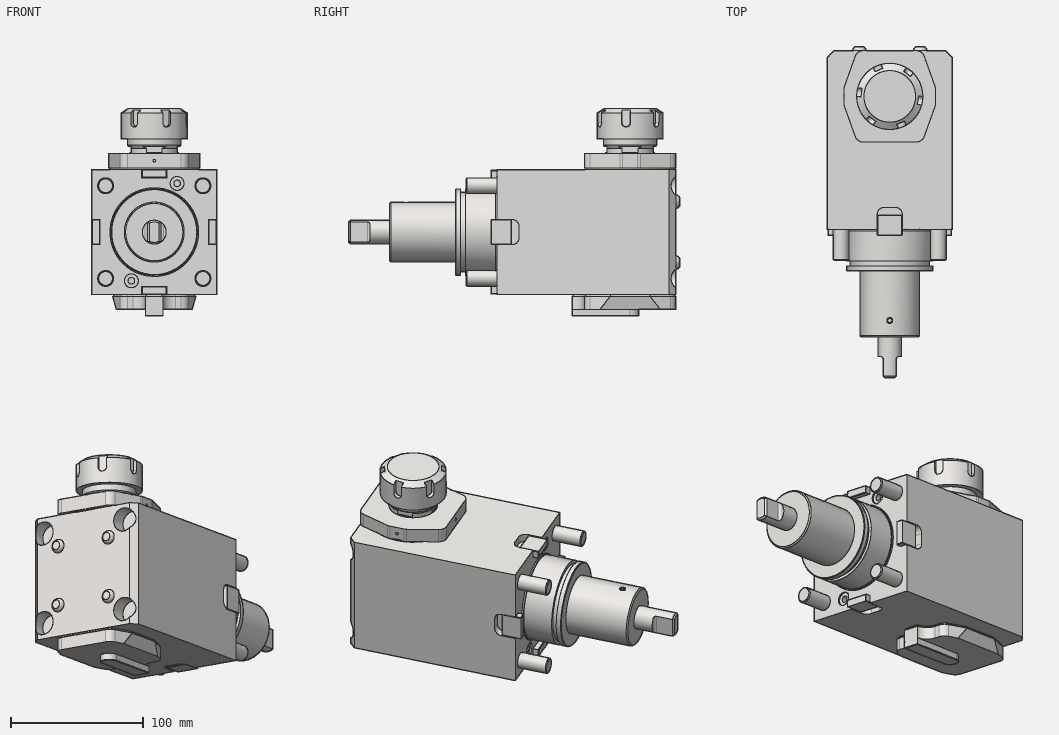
import cadquery as cq
import math


body_width = 94.0
body_length = 134.5
body_half = body_width / 2
corner_chamfer = 5.0

plate_half_length = 34.3
plate_half_width = 34.3
plate_flat_half = 6.7
plate_end_half = 24.5
plate_round = 6.2
plate_height = 11.0
spindle_y = body_length - plate_half_length
spacer_height = 1.2
top_spacer_diameter = 67.2
oil_hole_diameter = 2.0
oil_hole_depth = 5.0

neck_radius = 18.5
neck_foot_height = 0.7
neck_height = 3.7
neck_flat_distance = 17.5
neck_flat_height = 4.5
shoulder_radius = 20.2
shoulder_cone_height = 2.5
shoulder_height = 4.7
nut_radius = 25.0
nut_face_radius = 19.5
nut_side_height = 19.5
nut_cone_height = 3.5
nut_slot_count = 6
nut_slot_width = 6.5
nut_slot_floor_radius = 21.5
nut_slot_depth = 14.0
nut_slot_angle = -7.6

bottom_plate_height = 9.7
bottom_gap = 1.2
tongue_width = 13.2
tongue_reach = 43.5
tongue_drop = 5.2
tongue_chamfer = 0.5
spacer_inset = 0.7
bevel_top_half = 31.4
bevel_bottom_half = 28.5

pilot_diameter = 65.0
pilot_groove_diameter = 60.0
pilot_end = 23.6
flange_start = 27.5
flange_end = 31.4
flange_chamfer = 0.5
collar_diameter = 66.7
collar_height = 1.2
shank_diameter = 45.0
shank_end = 81.0
shank_chamfer = 1.0
shank_hole_diameter = 3.2
shank_hole_mouth_diameter = 4.5
shank_hole_mouth_depth = 1.2
shank_hole_y = -68.5
shank_hole_depth = 7.5

shaft_end = 111.5
driver_diameter = 18.0
driver_thickness = 10.0
driver_flat_start = 95.5
driver_round = 2.0
driver_chamfer = 1.2

bolt_x = 36.5
bolt_z = 34.8
bolt_diameter = 12.0
bolt_reach = 23.1
bolt_chamfer = 0.7
head_recess_diameter = 18.0
head_recess_depth = 12.5

key_width = 19.0
key_depth = 6.2
key_inset = 0.5
key_chamfer = 0.5
key_reach = 4.5
key_length_inside = 11.0
key_pocket_length = 16.7
key_pocket_round = 5.5

port_x = 17.2
port_z = 36.5
port_diameter = 10.5
port_ledge_depth = 1.2
port_hole_diameter = 5.0
port_hole_depth = 7.5

button_offset = 23.0
button_diameter = 10.5
button_top_diameter = 6.5
button_height = 3.0
button_bulge_diameter = 9.2
button_bulge_height = 1.7


def rod_along_y(diameter, y_from, y_to, x=0, z=0):
    """Cylinder parallel to Y between two Y positions."""
    workplane = cq.Workplane("XZ", origin=(x, y_to, z))
    return workplane.circle(diameter / 2).extrude(y_to - y_from)


def four_places(x, z):
    return [(sx * x, sz * z) for sx in (-1, 1) for sz in (-1, 1)]


def plate_blank(z_from, height):
    """Eight-sided plate with rounded corners, centred on the spindle axis."""
    quarter = [(plate_half_width, plate_flat_half), (plate_end_half, plate_half_length)]
    right = [(x, -y) for x, y in reversed(quarter)] + quarter
    left = [(-x, -y) for x, y in right]
    base = cq.Workplane("XY", origin=(0, spindle_y, z_from))
    blank = base.polyline(right + left).close().extrude(height)
    return blank.edges("|Z").fillet(plate_round)


def make_body():
    body = cq.Workplane("XY").box(body_width, body_length, body_width, centered=(True, False, True))
    body = body.edges("|Z and >Y").chamfer(corner_chamfer)
    for x, z in four_places(bolt_x, bolt_z):
        body = body.cut(rod_along_y(head_recess_diameter, body_length - head_recess_depth, body_length, x, z))
    for x, z in [(port_x, port_z), (-port_x, -port_z)]:
        body = body.cut(rod_along_y(port_diameter, 0, port_ledge_depth, x, z))
        body = body.cut(rod_along_y(port_hole_diameter, 0, port_hole_depth, x, z))
    return body


def make_key_pocket():
    """Pocket for the upper key, rounded at its rear corners."""
    pocket = cq.Workplane("XY", origin=(0, 0, body_half - key_depth)).box(
        key_width, key_pocket_length, key_depth, centered=(True, False, False)
    )
    return pocket.edges("|Z and >Y").fillet(key_pocket_round)


def make_key():
    """Upper key, chamfered on its exposed edges except the front outer one."""
    key = cq.Workplane("XY", origin=(0, -key_reach, body_half - key_depth)).box(
        key_width, key_reach + key_length_inside, key_depth - key_inset, centered=(True, False, False)
    )
    return key.edges("|Z or (>Z and (not <Y)) or (<Z and <Y)").chamfer(key_chamfer)


def make_top_plate():
    spacer_base = cq.Workplane("XY", origin=(0, spindle_y, body_half))
    spacer = spacer_base.circle(top_spacer_diameter / 2).extrude(spacer_height)
    plate = plate_blank(body_half + spacer_height, plate_height)
    hole_z = body_half + spacer_height + plate_height / 2
    front_y = spindle_y - plate_half_length
    plate = plate.cut(rod_along_y(oil_hole_diameter, front_y, front_y + oil_hole_depth, 0, hole_z))
    side_hole = cq.Workplane("YZ", origin=(-plate_half_width, spindle_y, hole_z))
    plate = plate.cut(side_hole.circle(oil_hole_diameter / 2).extrude(oil_hole_depth))
    return plate.union(spacer)


def make_spindle():
    """Neck, shoulder and slotted collet nut turned about the spindle axis."""
    base_z = body_half + spacer_height + plate_height
    neck_top = base_z + neck_height
    cone_top = neck_top + shoulder_cone_height
    nut_bottom = cone_top + shoulder_height
    nut_edge = nut_bottom + nut_side_height
    nut_top = nut_edge + nut_cone_height
    profile = [
        (0, base_z),
        (neck_radius, base_z),
        (neck_radius, neck_top),
        (shoulder_radius, cone_top),
        (shoulder_radius, nut_bottom),
        (nut_radius, nut_bottom),
        (nut_radius, nut_edge),
        (nut_face_radius, nut_top),
        (0, nut_top),
    ]
    spindle = cq.Workplane("XZ").polyline(profile).close().revolve(360, (0, 0, 0), (0, 1, 0))

    outer = 2 * nut_radius
    flats = (
        cq.Workplane("XY", origin=(0, 0, base_z + neck_foot_height))
        .rect(outer, outer)
        .rect(2 * neck_flat_distance, 2 * neck_flat_distance)
        .extrude(neck_flat_height)
    )
    spindle = spindle.cut(flats)

    slot_end_z = nut_top - nut_slot_depth + nut_slot_width / 2
    slot_base = cq.Workplane("YZ", origin=(nut_slot_floor_radius, 0, slot_end_z))
    slot = slot_base.circle(nut_slot_width / 2).extrude(nut_radius)
    slot_sides = slot_base.center(0, nut_slot_depth / 2).rect(nut_slot_width, nut_slot_depth).extrude(nut_radius)
    slot = slot.union(slot_sides)
    for i in range(nut_slot_count):
        angle = nut_slot_angle + i * 360 / nut_slot_count
        spindle = spindle.cut(slot.rotate((0, 0, 0), (0, 0, 1), angle))
    return spindle.translate((0, spindle_y, 0))


def make_bottom_plate():
    """Plate with bevelled sides and a guide tongue that reaches past its front edge."""
    plate_top = -body_half - bottom_gap
    plate_bottom = plate_top - bottom_plate_height
    plate = plate_blank(plate_bottom, bottom_plate_height)

    bevel = (
        cq.Workplane("XZ", origin=(0, body_length, 0))
        .polyline([
            (-bevel_top_half, plate_top),
            (bevel_top_half, plate_top),
            (bevel_bottom_half, plate_bottom),
            (-bevel_bottom_half, plate_bottom),
        ])
        .close()
        .extrude(body_length)
    )
    plate = plate.intersect(bevel)

    half = tongue_width / 2
    root = tongue_reach - plate_half_length
    flare_mid = root * (1 - math.sqrt(0.5))
    flare = (
        cq.Workplane("XY", origin=(0, spindle_y, plate_bottom))
        .moveTo(-half - root, -plate_half_length)
        .threePointArc((-half - flare_mid, -plate_half_length - flare_mid), (-half, -tongue_reach))
        .lineTo(half, -tongue_reach)
        .threePointArc((half + flare_mid, -plate_half_length - flare_mid), (half + root, -plate_half_length))
        .close()
        .extrude(bottom_plate_height)
    )
    tongue = (
        cq.Workplane("XY", origin=(0, spindle_y, plate_bottom - tongue_drop))
        .moveTo(-half, -tongue_reach)
        .lineTo(half, -tongue_reach)
        .lineTo(half, 0)
        .threePointArc((0, half), (-half, 0))
        .close()
        .extrude(tongue_drop + bottom_plate_height)
    )
    tongue = tongue.faces("<Z").chamfer(tongue_chamfer)
    plate = plate.union(flare)
    spacer = plate.faces(">Z").wires().toPending().offset2D(-spacer_inset).extrude(bottom_gap, combine=False)
    spacer = spacer.translate((0, 0, plate_top - spacer.val().BoundingBox().zmin))
    return plate.union(spacer).union(tongue)


def make_shaft():
    """Pilot, retaining flange, shank and the flattened driving end."""
    shaft = rod_along_y(pilot_diameter, -pilot_end, 0)
    shaft = shaft.union(rod_along_y(collar_diameter, -collar_height, 0))
    shaft = shaft.union(rod_along_y(pilot_groove_diameter, -flange_start, -pilot_end))
    flange = rod_along_y(pilot_diameter, -flange_end, -flange_start)
    shaft = shaft.union(flange.faces("<Y").chamfer(flange_chamfer))

    shank = rod_along_y(shank_diameter, -shank_end, -flange_end).faces("<Y").chamfer(shank_chamfer)
    hole_top = cq.Workplane("XY", origin=(0, shank_hole_y, shank_diameter / 2))
    shank = shank.cut(hole_top.circle(shank_hole_diameter / 2).extrude(-shank_hole_depth))
    shank = shank.cut(hole_top.circle(shank_hole_mouth_diameter / 2).extrude(-shank_hole_mouth_depth))

    driver = rod_along_y(driver_diameter, -shaft_end, -shank_end)
    flat_length = shaft_end - driver_flat_start
    for side in (-1, 1):
        flat_cut = cq.Workplane("XY").box(driver_diameter, 2 * flat_length, 2 * driver_diameter)
        inner_edge = ">Y and <X" if side > 0 else ">Y and >X"
        flat_cut = flat_cut.edges("|Z").edges(inner_edge).fillet(driver_round)
        x = side * (driver_thickness + driver_diameter) / 2
        driver = driver.cut(flat_cut.translate((x, -shaft_end, 0)))
    driver = driver.faces("<Y").chamfer(driver_chamfer)
    return shaft.union(shank).union(driver)


def make_button():
    """Domed head whose axis is Y, seated on the rear face at X = Z = 0."""
    base = button_diameter / 2
    top = button_top_diameter / 2
    bulge = (button_bulge_diameter / 2, button_bulge_height)
    profile = (
        cq.Workplane("XY")
        .lineTo(base, 0)
        .threePointArc(bulge, (top, button_height))
        .lineTo(0, button_height)
        .close()
    )
    return profile.revolve(360, (0, 0, 0), (0, 1, 0)).translate((0, body_length, 0))


part = make_body()
pocket = make_key_pocket()
key = make_key()
for angle in (0, 90, 180, 270):
    part = part.cut(pocket.rotate((0, 0, 0), (0, 1, 0), angle))
    part = part.union(key.rotate((0, 0, 0), (0, 1, 0), angle))

for section in (make_top_plate(), make_spindle(), make_bottom_plate(), make_shaft()):
    part = part.union(section)

for x, z in four_places(bolt_x, bolt_z):
    part = part.union(rod_along_y(bolt_diameter, -bolt_reach, 0, x, z).faces("<Y").chamfer(bolt_chamfer))
button = make_button()
for x, z in four_places(button_offset, button_offset):
    part = part.union(button.translate((x, 0, z)))

result = part